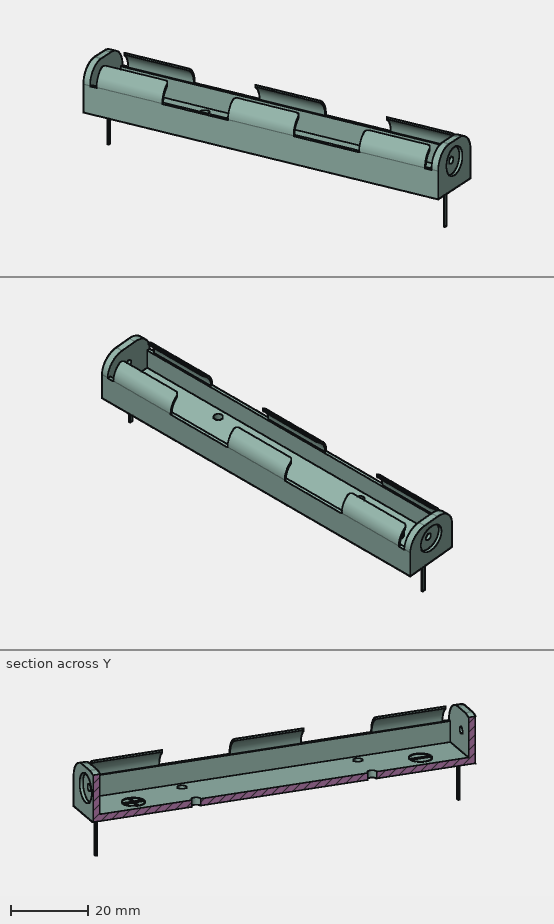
import cadquery as cq
import math

length = 107.8
width = 16.2
body_height = 13.7
wall_height = 7.9
wall_thickness = 1.0
floor_thickness = 2.0
end_thickness = 2.0
shoulder_radius = 5.6

clip_length = 19.9
clip_pitch = 2 * clip_length
clip_thickness = 0.5
clip_edge_y = 4.9
clip_corner_radius = 1.0

recess_diameter = 8.0
recess_depth = 1.0
contact_hole_diameter = 1.9

mount_hole_diameter = 2.5
mount_spacing_x = 49.6
mount_spacing_y = 9.4

pin_inset = 2.8
pin_thickness = 0.4
pin_width = 1.0
pin_length = 11.2

mark_diameter = 6.0
mark_inset = 13.5
mark_depth = 0.2
mark_bar_width = 0.4

half_width = width / 2
mid_x = length / 2
clip_root_z = wall_height - wall_thickness


def make_shell():
    """Round-shouldered block hollowed into an open trough with two end plates."""
    block = (
        cq.Workplane("XY")
        .box(length, width, body_height, centered=(False, True, False))
        .edges("|X and >Z")
        .fillet(shoulder_radius)
    )
    cavity_length = length - 2 * end_thickness
    cavity = (
        cq.Workplane("XY", origin=(mid_x, 0, floor_thickness))
        .box(cavity_length, width - 2 * wall_thickness, body_height, centered=(True, True, False))
    )
    above_walls = (
        cq.Workplane("XY", origin=(mid_x, 0, wall_height))
        .box(cavity_length, width, body_height, centered=(True, True, False))
    )
    return block.cut(cavity).cut(above_walls)


def make_clip(center_x, side):
    """Curved tongue that continues one wall upward and inward; side is +1 or -1."""
    arc_y = half_width - shoulder_radius
    arc_z = body_height - shoulder_radius
    inner_radius = shoulder_radius - clip_thickness
    edge_angle = math.acos((clip_edge_y - arc_y) / shoulder_radius)

    def arc_point(radius, angle):
        return (side * (arc_y + radius * math.cos(angle)), arc_z + radius * math.sin(angle))

    clip_inner_y = side * (half_width - clip_thickness)
    tongue = (
        cq.Workplane("YZ", origin=(center_x - clip_length / 2, 0, 0))
        .moveTo(side * half_width, clip_root_z)
        .lineTo(*arc_point(shoulder_radius, 0))
        .threePointArc(arc_point(shoulder_radius, edge_angle / 2), arc_point(shoulder_radius, edge_angle))
        .lineTo(*arc_point(inner_radius, edge_angle))
        .threePointArc(arc_point(inner_radius, edge_angle / 2), arc_point(inner_radius, 0))
        .lineTo(clip_inner_y, clip_root_z)
        .close()
        .extrude(clip_length)
    )
    plan = (
        cq.Workplane("XY", origin=(center_x, 0, 0))
        .box(clip_length, 2 * width, body_height, centered=(True, False, False))
        .edges("|Z and <Y")
        .fillet(clip_corner_radius)
        .translate((0, clip_edge_y, 0))
    )
    if side < 0:
        plan = plan.mirror("XZ")
    return tongue.intersect(plan)


def end_cylinder(diameter, start_x, depth):
    """Cylinder along X on the axis of the end plate holes, level with the wall tops."""
    return cq.Workplane("YZ", origin=(start_x, 0, wall_height)).circle(diameter / 2).extrude(depth)


def make_pin(x):
    """Flat solder pin hanging below the floor, rooted halfway into it."""
    return (
        cq.Workplane("XY", origin=(x, 0, -pin_length))
        .box(pin_thickness, pin_width, pin_length + floor_thickness / 2, centered=(True, True, False))
    )


def make_mark(x, is_plus):
    """Cutter for a disc that keeps a minus bar, or a plus cross, at floor level."""
    base = cq.Workplane("XY", origin=(x, 0, floor_thickness - mark_depth))
    disc = base.circle(mark_diameter / 2).extrude(mark_depth)
    disc = disc.cut(base.rect(mark_diameter, mark_bar_width).extrude(mark_depth))
    if is_plus:
        disc = disc.cut(base.rect(mark_bar_width, mark_diameter).extrude(mark_depth))
    return disc


result = make_shell()

for clip_index in (-1, 0, 1):
    for wall_side in (-1, 1):
        result = result.union(make_clip(mid_x + clip_index * clip_pitch, wall_side))

for recess_start in (0, length - recess_depth):
    result = result.cut(end_cylinder(recess_diameter, recess_start, recess_depth))
result = result.cut(end_cylinder(contact_hole_diameter, 0, length))

mount_holes = (
    cq.Workplane("XY", origin=(mid_x, 0, 0))
    .rarray(mount_spacing_x, mount_spacing_y, 2, 2)
    .circle(mount_hole_diameter / 2)
    .extrude(floor_thickness)
)
result = result.cut(mount_holes)

result = result.cut(make_mark(mark_inset, is_plus=False))
result = result.cut(make_mark(length - mark_inset, is_plus=True))

for pin_x in (pin_inset, length - pin_inset):
    result = result.union(make_pin(pin_x))